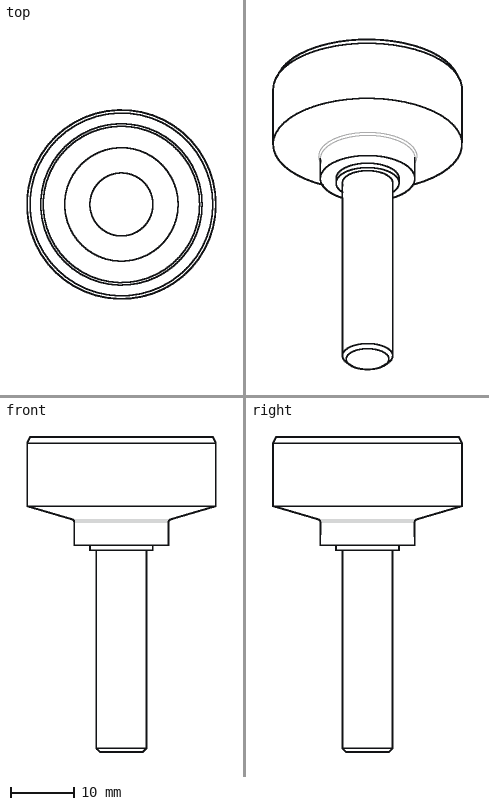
import cadquery as cq


head_radius = 15.0
head_top = 50.0
head_depth = 11.0
rim_bevel_width = 0.5
rim_bevel_height = 1.0
hub_radius = 7.5
hub_depth = 17.2
neck_depth = 13.2
neck_fillet = 0.4

recess_mouth_radius = 12.4
recess_floor_radius = 9.0
recess_depth = 7.5
recess_edge_chamfer = 0.4

shank_radius = 4.0
insert_radius = 5.0
insert_protrusion = 0.8
insert_top_depth = 7.0
tip_chamfer = 0.6

hub_bottom = head_top - hub_depth
neck_height = head_top - neck_depth
grip_bottom = head_top - head_depth
recess_floor = head_top - recess_depth
insert_top = head_top - insert_top_depth
insert_bottom = hub_bottom - insert_protrusion


def revolve_about_z(profile):
    """Revolve a closed XZ outline about the Z axis."""
    return profile.close().revolve(360, (0, 0, 0), (0, 1, 0))


def make_knob():
    """Dished head with a conical underside, a short hub and a bore for the stud."""
    outline = (
        cq.Workplane("XZ")
        .moveTo(insert_radius, hub_bottom)
        .lineTo(hub_radius, hub_bottom)
        .lineTo(hub_radius, neck_height)
        .lineTo(head_radius, grip_bottom)
        .lineTo(head_radius, head_top - rim_bevel_height)
        .lineTo(head_radius - rim_bevel_width, head_top)
        .lineTo(recess_mouth_radius + recess_edge_chamfer, head_top)
        .lineTo(recess_mouth_radius, head_top - recess_edge_chamfer)
        .lineTo(recess_floor_radius, recess_floor)
        .lineTo(insert_radius, recess_floor)
    )
    head = revolve_about_z(outline)
    neck_edge = cq.selectors.BoxSelector(
        (-head_radius, -head_radius, neck_height - neck_fillet),
        (head_radius, head_radius, neck_height + neck_fillet),
        boundingbox=True,
    )
    return head.edges(neck_edge).fillet(neck_fillet)


def make_stud():
    """Stepped stud: wide insert standing just proud of the recess floor, shank with a chamfered tip."""
    outline = (
        cq.Workplane("XZ")
        .moveTo(0, 0)
        .lineTo(shank_radius - tip_chamfer, 0)
        .lineTo(shank_radius, tip_chamfer)
        .lineTo(shank_radius, insert_bottom)
        .lineTo(insert_radius, insert_bottom)
        .lineTo(insert_radius, insert_top)
        .lineTo(0, insert_top)
    )
    return revolve_about_z(outline)


knob = make_knob()
stud = make_stud()

result = cq.Compound.makeCompound([knob.val(), stud.val()])